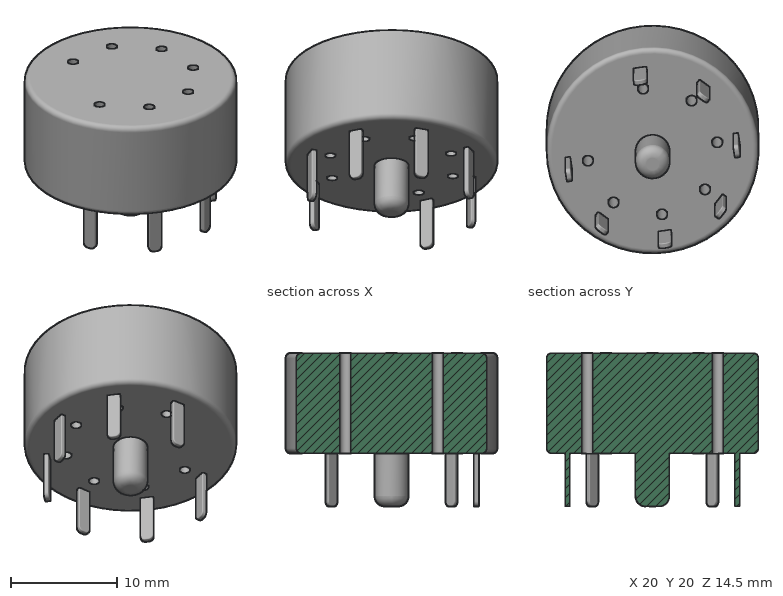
import cadquery as cq
import math

body_diameter = 20
body_height = 9.5
body_edge_radius = 0.5

leg_length = 5
post_diameter = 3.25
post_end_radius = 1
pin_circle_radius = 8
pin_width = 1.25
pin_thickness = 0.5
pin_tip_radius = 0.5
pin_edge_radius = 0.1

hole_circle_radius = 6.15
hole_diameter = 1

position_step = 45
position_angles = [-45 + position_step * i for i in range(7)]


def make_body():
    return cq.Workplane("XY").circle(body_diameter / 2).extrude(body_height).edges().fillet(body_edge_radius)


def make_post():
    post = cq.Workplane("XY").circle(post_diameter / 2).extrude(-leg_length)
    return post.faces("<Z").edges().fillet(post_end_radius)


def make_pin(angle):
    """Flat pin, thin along the radius, with a rounded tip and softened long edges."""
    pin = cq.Workplane("XY").box(pin_thickness, pin_width, leg_length, centered=(True, True, False))
    pin = pin.edges("<Z and |X").fillet(pin_tip_radius)
    pin = pin.edges("|Z").fillet(pin_edge_radius)
    pin = pin.translate((pin_circle_radius, 0, -leg_length))
    return pin.rotate((0, 0, 0), (0, 0, 1), angle)


def make_hole(angle):
    x = hole_circle_radius * math.cos(math.radians(angle))
    y = hole_circle_radius * math.sin(math.radians(angle))
    return cq.Workplane("XY").center(x, y).circle(hole_diameter / 2).extrude(body_height)


result = make_body().union(make_post())
for angle in position_angles:
    result = result.union(make_pin(angle)).cut(make_hole(angle))